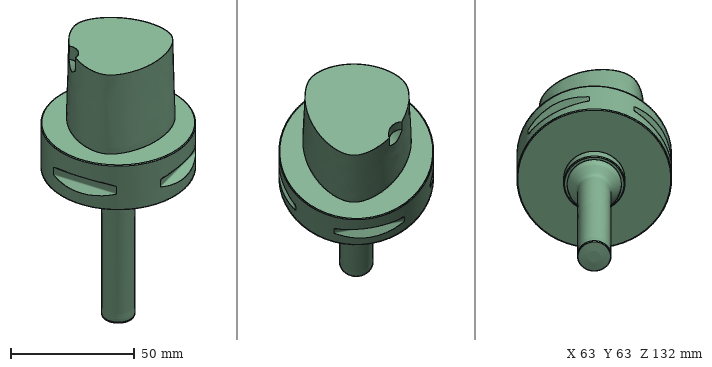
import cadquery as cq
import math

TOTAL_HEIGHT = 132.0
TAPER_HEIGHT = 38.0
FOOT_HEIGHT = 2.8
FLANGE_HEIGHT = 21.9
COLLAR_HEIGHT = 4.8
FLANGE_TOP = TOTAL_HEIGHT - TAPER_HEIGHT
FLANGE_BOTTOM = FLANGE_TOP - FLANGE_HEIGHT
COLLAR_BOTTOM = FLANGE_BOTTOM - COLLAR_HEIGHT

FLANGE_DIAMETER = 63.0
COLLAR_DIAMETER = 25.0
EDGE_CHAMFER = 0.4

FOOT_WIDTH = 44.1
TAPER_RATIO = 1 / 20
LOBE_HEIGHT = 1.52
POLYGON_POINTS = 48

NOTCH_RADIUS = 5.4
NOTCH_AXIS_Y = -22.5
NOTCH_DEPTH = 6.5
NOTCH_CONE_HEIGHT = 5.0

SLOT_COUNT = 4
SLOT_FIRST_ANGLE = 45
SLOT_FLOOR_HEIGHT = 3.7
SLOT_FLOOR_RADIUS = 27.9
SLOT_FLANK_ANGLE = 30
SLOT_CORNER_RADIUS = 0.7
SLOT_MID_DROP = 12.1

HEAD_DIAMETER = 22.0
HEAD_BAND_HEIGHT = 1.0
SHOULDER_ANGLE = 45
SHOULDER_RADIUS = 3.3
NECK_DIAMETER = 13.7
STEM_DIAMETER = 13.5
NECK_BOTTOM = 54.0
STEM_TOP = 34.5
TIP_TOP = 4.8
TIP_FULL_HEIGHT = 2.4
TIP_CHAMFER_TOP = 1.0
TIP_CHAMFER_BOTTOM = 0.4
TIP_CHAMFER_WIDTH = 0.3
TIP_FLAT_DIAMETER = 5.3


def polygon_outline(mean_radius):
    """Points of the three-lobed outline, with one lobe toward +Y."""
    points = []
    for i in range(POLYGON_POINTS):
        angle = 2 * math.pi * i / POLYGON_POINTS
        reach = mean_radius - LOBE_HEIGHT * math.sin(3 * angle)
        slope = -3 * LOBE_HEIGHT * math.cos(3 * angle)
        x = reach * math.cos(angle) - slope * math.sin(angle)
        y = reach * math.sin(angle) + slope * math.cos(angle)
        points.append((x, y))
    return points


def make_shank():
    """Straight polygon foot with the tapered polygon above it."""
    foot_radius = FOOT_WIDTH / 2
    tapered_height = TAPER_HEIGHT - FOOT_HEIGHT
    top_radius = foot_radius - tapered_height * TAPER_RATIO / 2
    foot = (
        cq.Workplane("XY", origin=(0, 0, FLANGE_TOP))
        .spline(polygon_outline(foot_radius), periodic=True)
        .close()
        .extrude(FOOT_HEIGHT)
    )
    taper = (
        cq.Workplane("XY", origin=(0, 0, FLANGE_TOP + FOOT_HEIGHT))
        .spline(polygon_outline(foot_radius), periodic=True)
        .close()
        .workplane(offset=tapered_height)
        .spline(polygon_outline(top_radius), periodic=True)
        .close()
        .loft(ruled=True)
    )
    return foot.union(taper)


def make_notch_cutter():
    """Drill-shaped cutter: a cylinder ending in a cone."""
    cone_top = TOTAL_HEIGHT - NOTCH_DEPTH
    profile = [
        (0, TOTAL_HEIGHT),
        (NOTCH_RADIUS, TOTAL_HEIGHT),
        (NOTCH_RADIUS, cone_top),
        (0, cone_top - NOTCH_CONE_HEIGHT),
    ]
    drill = cq.Workplane("XZ").polyline(profile).close().revolve(360, (0, 0, 0), (0, 1, 0))
    return drill.translate((0, NOTCH_AXIS_Y, 0))


def make_slot_cutter(angle):
    """Trapezoidal gripper slot with rounded floor corners, running straight across the flange rim."""
    rim_radius = FLANGE_DIAMETER / 2
    flare = (rim_radius - SLOT_FLOOR_RADIUS) * math.tan(math.radians(SLOT_FLANK_ANGLE))
    half_floor = SLOT_FLOOR_HEIGHT / 2
    profile = [
        (SLOT_FLOOR_RADIUS, -half_floor),
        (rim_radius, -half_floor - flare),
        (rim_radius, half_floor + flare),
        (SLOT_FLOOR_RADIUS, half_floor),
    ]
    return (
        cq.Workplane("XZ")
        .polyline(profile)
        .close()
        .extrude(rim_radius, both=True)
        .faces("<X")
        .edges("|Y")
        .fillet(SLOT_CORNER_RADIUS)
        .translate((0, 0, FLANGE_TOP - SLOT_MID_DROP))
        .rotate((0, 0, 0), (0, 0, 1), angle)
    )


def make_holder():
    """Polygon-shank holder with its gripper flange and collar."""
    flange = (
        cq.Workplane("XY", origin=(0, 0, FLANGE_BOTTOM))
        .circle(FLANGE_DIAMETER / 2)
        .extrude(FLANGE_HEIGHT)
        .edges()
        .chamfer(EDGE_CHAMFER)
    )
    collar = (
        cq.Workplane("XY", origin=(0, 0, COLLAR_BOTTOM))
        .circle(COLLAR_DIAMETER / 2)
        .extrude(COLLAR_HEIGHT)
        .faces("<Z")
        .edges()
        .chamfer(EDGE_CHAMFER)
    )
    body = flange.union(collar).union(make_shank()).cut(make_notch_cutter())
    for i in range(SLOT_COUNT):
        body = body.cut(make_slot_cutter(SLOT_FIRST_ANGLE + i * 360 / SLOT_COUNT))
    return body


def make_mandrel():
    """Turned mandrel: head, rounded shoulder, neck, tapering stem and crowned tip."""
    head = HEAD_DIAMETER / 2
    neck = NECK_DIAMETER / 2
    stem = STEM_DIAMETER / 2
    slant = math.radians(SHOULDER_ANGLE)

    round_in = SHOULDER_RADIUS * (1 - math.cos(slant))
    round_drop = SHOULDER_RADIUS * math.sin(slant)
    mid_in = SHOULDER_RADIUS * (1 - math.cos(slant / 2))
    mid_drop = SHOULDER_RADIUS * math.sin(slant / 2)
    cone_drop = (head - neck - 2 * round_in) / math.tan(slant)
    shoulder_top = COLLAR_BOTTOM - HEAD_BAND_HEIGHT
    shoulder_bottom = shoulder_top - 2 * round_drop - cone_drop

    profile = (
        cq.Workplane("XZ")
        .moveTo(0, COLLAR_BOTTOM)
        .lineTo(head, COLLAR_BOTTOM)
        .lineTo(head, shoulder_top)
        .threePointArc((head - mid_in, shoulder_top - mid_drop), (head - round_in, shoulder_top - round_drop))
        .lineTo(neck + round_in, shoulder_bottom + round_drop)
        .threePointArc((neck + mid_in, shoulder_bottom + mid_drop), (neck, shoulder_bottom))
        .lineTo(neck, NECK_BOTTOM)
        .lineTo(stem, STEM_TOP)
        .lineTo(stem, TIP_TOP)
        .lineTo(neck, TIP_FULL_HEIGHT)
        .lineTo(neck, TIP_CHAMFER_TOP)
        .lineTo(neck - TIP_CHAMFER_WIDTH, TIP_CHAMFER_BOTTOM)
        .lineTo(TIP_FLAT_DIAMETER / 2, 0)
        .lineTo(0, 0)
        .close()
    )
    return profile.revolve(360, (0, 0, 0), (0, 1, 0))


holder = make_holder()
mandrel = make_mandrel()
result = cq.Compound.makeCompound([*holder.solids().vals(), mandrel.val()])